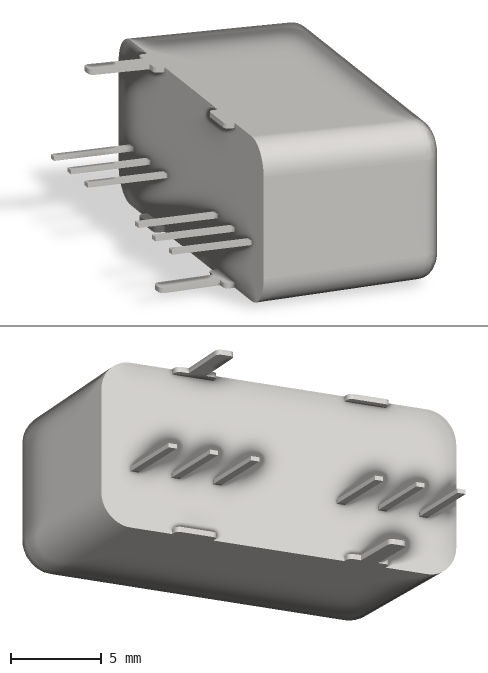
import cadquery as cq
import math

case_width = 21.84
case_depth = 10.6
overall_height = 9.7
broad_draft = 1.12
end_draft = 0.43
corner_radius = 1.8
closed_end_radius = 1.0

tab_offset = 5.3
tab_width = 2.54
tab_length = 0.57
strip_corner_radius = 0.3
sheet_thickness = 0.3

case_pin_width = 1.06
case_pin_length = 4.1

pin_pitch = 2.54
terminal_pin_x = [pitches * pin_pitch for pitches in (-3.5, -2.5, -1.5, 1.5, 2.5, 3.5)]
pin_width = 0.5
pin_thickness = 0.25
pin_length = 4.7
pin_z = -1.39

embed = 0.5

broad_slope = math.tan(math.radians(broad_draft))
end_slope = math.tan(math.radians(end_draft))
case_height = overall_height - 2 * case_pin_length * broad_slope


def make_case():
    """Block drafted by a different angle in X and Z, with rounded edges."""
    closed_width = case_width - 2 * case_depth * end_slope
    closed_height = case_height - 2 * case_depth * broad_slope
    block = (
        cq.Workplane("XZ")
        .rect(case_width, case_height)
        .workplane(offset=-case_depth)
        .rect(closed_width, closed_height)
        .loft(ruled=True)
    )
    long_edges = block.edges("not(<Y or >Y)")
    rounded = block.newObject(long_edges.vals()).fillet(corner_radius)
    return rounded.faces(">Y").edges().fillet(closed_end_radius)


def make_strip(center_x, width, length):
    """Flat strip under the plane Z = 0, from inside the case to Y = -length."""
    return (
        cq.Workplane("XY")
        .center(center_x, (embed - length) / 2)
        .rect(width, length + embed)
        .extrude(-sheet_thickness)
        .edges("|Z and <Y")
        .fillet(strip_corner_radius)
    )


def make_upper_tab(center_x, has_pin):
    """Tab flush with the +Z wall and tilted by its draft, with or without a pin."""
    tab = make_strip(center_x, tab_width, tab_length)
    if has_pin:
        tab = tab.union(make_strip(center_x, case_pin_width, case_pin_length))
    tilted = tab.rotate((0, 0, 0), (1, 0, 0), -broad_draft)
    return tilted.translate((0, 0, case_height / 2))


def make_terminal_pin(center_x):
    """Straight rectangular pin leaving the mounting face toward -Y."""
    return (
        cq.Workplane("XZ", origin=(center_x, embed, pin_z))
        .rect(pin_width, pin_thickness)
        .extrude(pin_length + embed)
    )


result = make_case()

for center_x in (-tab_offset, tab_offset):
    upper_has_pin = center_x < 0
    lower_tab = make_upper_tab(center_x, not upper_has_pin).mirror("XY")
    result = result.union(make_upper_tab(center_x, upper_has_pin)).union(lower_tab)

for center_x in terminal_pin_x:
    result = result.union(make_terminal_pin(center_x))